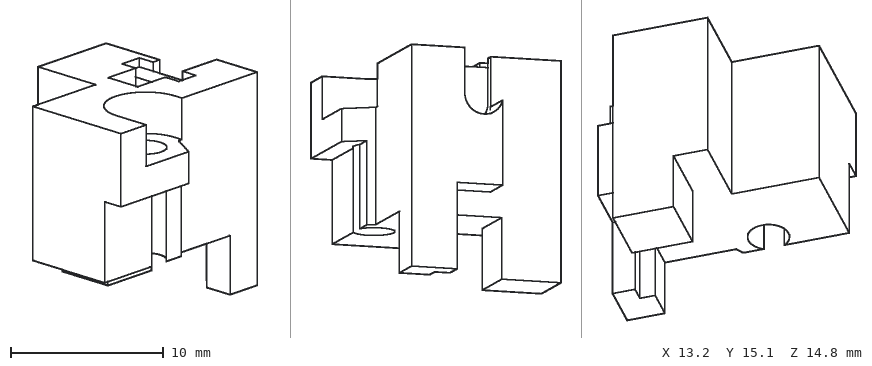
import cadquery as cq
import math

width = 13.15
depth = 15.1
leg_length = 4.1
body_height = 10.68
top_z = leg_length + body_height

left_block_front_y = 6.0
left_block_back_y = 12.5
front_block_left_x = 5.2
back_block_left_x = 4.88
back_block_right_x = 11.16
slant_back_y = 7.6
slant_angle = 30.0
slant_front_y = slant_back_y - (width - back_block_right_x) * math.tan(math.radians(slant_angle))

overhang_thickness = 5.07
lower_right_x = 11.69
back_block_thickness = 9.02

screw_x = 10.5
screw_y = 5.17
screw_hole_diameter = 2.75
seat_radius = 2.75
seat_depth = 2.87

groove_width = 2.65
groove_center_x = 6.165
groove_front_y = 7.58
groove_axis_depth = 3.04

bar_left_x = 3.61
bar_right_x = 8.7
bar_front_y = 10.2
bar_back_y = 11.85
bar_sink = 0.62

left_leg_width = 4.09
left_leg_front_y = 8.34
right_leg_left_x = 8.01
right_leg_notch = 1.05


def box(x0, x1, y0, y1, z0, z1):
    """Axis-aligned box between two opposite corners."""
    return cq.Workplane("XY").box(x1 - x0, y1 - y0, z1 - z0, centered=False).translate((x0, y0, z0))


def make_body():
    """Stepped block with the undercuts below the right edge and the back."""
    body = (
        cq.Workplane("XY", origin=(0, 0, leg_length))
        .moveTo(front_block_left_x, 0)
        .lineTo(width, 0)
        .lineTo(width, slant_front_y)
        .lineTo(back_block_right_x, slant_back_y)
        .lineTo(back_block_right_x, depth)
        .lineTo(back_block_left_x, depth)
        .lineTo(back_block_left_x, left_block_back_y)
        .lineTo(0, left_block_back_y)
        .lineTo(0, left_block_front_y)
        .lineTo(front_block_left_x, left_block_front_y)
        .close()
        .extrude(body_height)
    )
    right_undercut = box(lower_right_x, width, 0, depth, leg_length, top_z - overhang_thickness)
    back_undercut = box(0, width, left_block_back_y, depth, leg_length, top_z - back_block_thickness)
    return body.cut(right_undercut).cut(back_undercut)


def make_left_leg():
    return box(0, left_leg_width, left_leg_front_y, left_block_back_y, 0, leg_length)


def make_right_leg():
    """Leg at the back right, reaching up to the raised underside, with a square notch in one corner."""
    height = top_z - back_block_thickness
    leg = box(right_leg_left_x, back_block_right_x, left_block_back_y, depth, 0, height)
    notch_right_x = right_leg_left_x + right_leg_notch
    notch_back_y = left_block_back_y + right_leg_notch
    notch = box(right_leg_left_x, notch_right_x, left_block_back_y, notch_back_y, 0, height)
    return leg.cut(notch)


def make_seat_cut():
    """Round-ended recess, open to the right, with a through hole for the screw."""
    floor_z = top_z - seat_depth
    round_end = (
        cq.Workplane("XY", origin=(screw_x, screw_y, floor_z)).circle(seat_radius).extrude(seat_depth)
    )
    opening = box(screw_x, width, screw_y - seat_radius, screw_y + seat_radius, floor_z, top_z)
    hole = cq.Workplane("XY", origin=(screw_x, screw_y, 0)).circle(screw_hole_diameter / 2).extrude(top_z)
    return round_end.union(opening).union(hole)


def make_groove_section(front_y, back_y):
    """Length of groove along Y: straight walls above a half-round bottom."""
    radius = groove_width / 2
    axis_z = top_z - groove_axis_depth
    walls = box(groove_center_x - radius, groove_center_x + radius, front_y, back_y, axis_z, top_z)
    bottom = (
        cq.Workplane("XZ", origin=(groove_center_x, back_y, axis_z)).circle(radius).extrude(back_y - front_y)
    )
    return walls.union(bottom)


def make_bar_slot():
    return box(bar_left_x, bar_right_x, bar_front_y, bar_back_y, top_z - bar_sink, top_z)


result = (
    make_body()
    .union(make_left_leg())
    .union(make_right_leg())
    .cut(make_seat_cut())
    .cut(make_groove_section(groove_front_y, bar_front_y))
    .cut(make_groove_section(bar_back_y, depth))
    .cut(make_bar_slot())
)